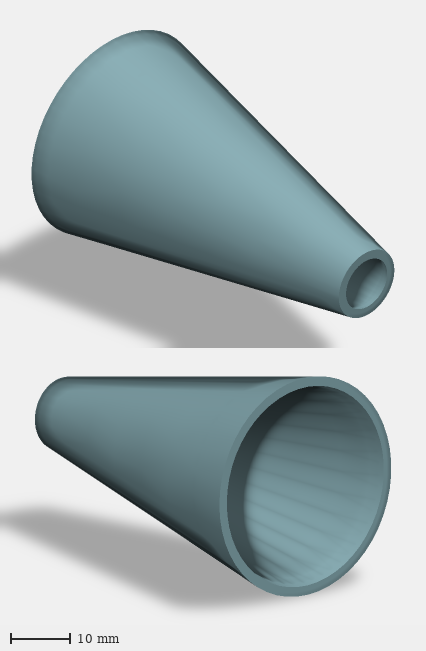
import cadquery as cq

length = 63.5
large_diameter = 38.1
small_diameter = 12.7
wall = 1.65

large_radius = large_diameter / 2
small_radius = small_diameter / 2

wall_section = [
    (0, large_radius - wall),
    (0, large_radius),
    (length, small_radius),
    (length, small_radius - wall),
]

result = (
    cq.Workplane("XY")
    .polyline(wall_section)
    .close()
    .revolve(360, (0, 0, 0), (1, 0, 0))
)